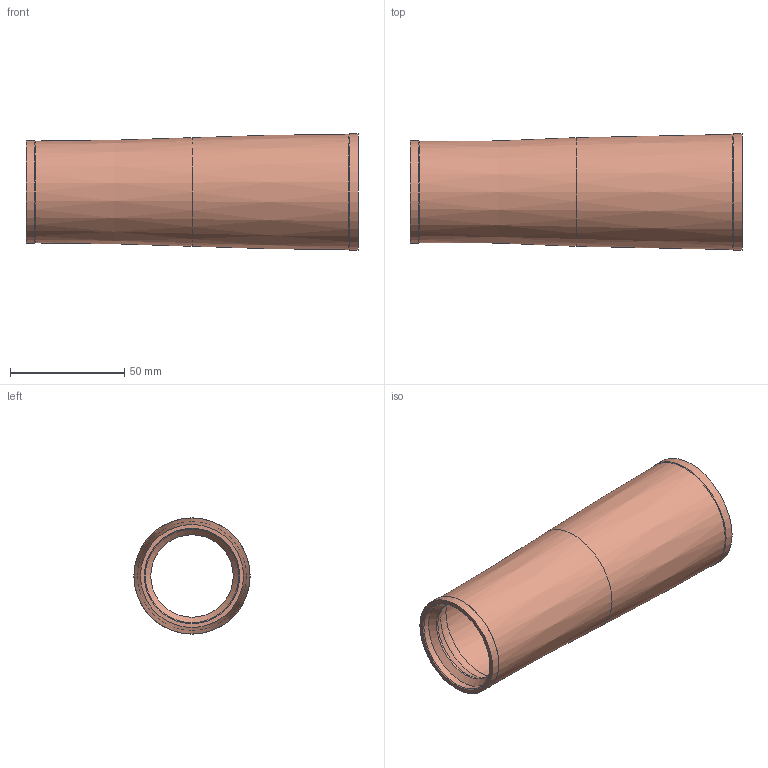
import cadquery as cq
import math

LENGTH = 145.0
SMALL_RIM_RADIUS = 22.5
LARGE_RIM_RADIUS = 25.4

RIM_WIDTH = 3.75
RIM_STEP = 0.25

MOUTH_CHAMFER = 0.4
MOUTH_RADIUS = 20.4
THROAT_RADIUS = 18.0
MOUTH_CONE_START = 3.3
THROAT_START = 5.8
THROAT_LENGTH = 0.8
RELIEF_ANGLE = math.radians(30.0)
RELIEF_BLEND_RADIUS = 9.0

WALL = 0.75

BODY_START = RIM_WIDTH + RIM_STEP
BODY_END = LENGTH - BODY_START
BODY_SMALL_RADIUS = SMALL_RIM_RADIUS - RIM_STEP
BODY_LARGE_RADIUS = LARGE_RIM_RADIUS - RIM_STEP
BORE_SMALL_RADIUS = BODY_SMALL_RADIUS - WALL
BORE_LARGE_RADIUS = BODY_LARGE_RADIUS - WALL


def s_curve(profile, start, end):
    """Join two points with two equal, opposite parabolas that lie along X at both ends."""
    quarter_run = (end[0] - start[0]) / 4
    middle = ((start[0] + end[0]) / 2, (start[1] + end[1]) / 2)
    leaving = (start[0] + quarter_run, start[1])
    arriving = (end[0] - quarter_run, end[1])
    return profile.bezier([start, leaving, middle]).bezier([middle, arriving, end])


def turned(profile):
    """Revolve a closed half profile a full turn about the X axis."""
    return profile.revolve(360, (0, 0, 0), (1, 0, 0))


def outer_body():
    """Solid of the outside: small rim, S-curved body and large rim."""
    profile = (
        cq.Workplane("XZ")
        .moveTo(0, 0)
        .lineTo(0, SMALL_RIM_RADIUS)
        .lineTo(RIM_WIDTH, SMALL_RIM_RADIUS)
        .lineTo(BODY_START, BODY_SMALL_RADIUS)
    )
    profile = s_curve(profile, (BODY_START, BODY_SMALL_RADIUS), (BODY_END, BODY_LARGE_RADIUS))
    profile = (
        profile.lineTo(LENGTH - RIM_WIDTH, LARGE_RIM_RADIUS)
        .lineTo(LENGTH, LARGE_RIM_RADIUS)
        .lineTo(LENGTH, 0)
        .close()
    )
    return turned(profile)


def blend_radius_at(slope_angle):
    """Distance from the X axis where the blend into the bore has the given slope."""
    return BORE_SMALL_RADIUS - RELIEF_BLEND_RADIUS * (1 - math.cos(slope_angle))


def bore():
    """Solid of the inside: mouth, throat, relief cone with its blend, and bore."""
    throat_end = THROAT_START + THROAT_LENGTH
    blend_start_radius = blend_radius_at(RELIEF_ANGLE)
    blend_start = throat_end + (blend_start_radius - THROAT_RADIUS) / math.tan(RELIEF_ANGLE)
    blend_end = blend_start + RELIEF_BLEND_RADIUS * math.sin(RELIEF_ANGLE)
    half_angle = RELIEF_ANGLE / 2
    blend_middle = (blend_end - RELIEF_BLEND_RADIUS * math.sin(half_angle), blend_radius_at(half_angle))
    profile = (
        cq.Workplane("XZ")
        .moveTo(0, 0)
        .lineTo(0, MOUTH_RADIUS + MOUTH_CHAMFER)
        .lineTo(MOUTH_CHAMFER, MOUTH_RADIUS)
        .lineTo(MOUTH_CONE_START, MOUTH_RADIUS)
        .lineTo(THROAT_START, THROAT_RADIUS)
        .lineTo(throat_end, THROAT_RADIUS)
        .lineTo(blend_start, blend_start_radius)
        .threePointArc(blend_middle, (blend_end, BORE_SMALL_RADIUS))
    )
    profile = s_curve(profile, (blend_end, BORE_SMALL_RADIUS), (LENGTH, BORE_LARGE_RADIUS))
    profile = profile.lineTo(LENGTH, 0).close()
    return turned(profile)


result = outer_body().cut(bore())